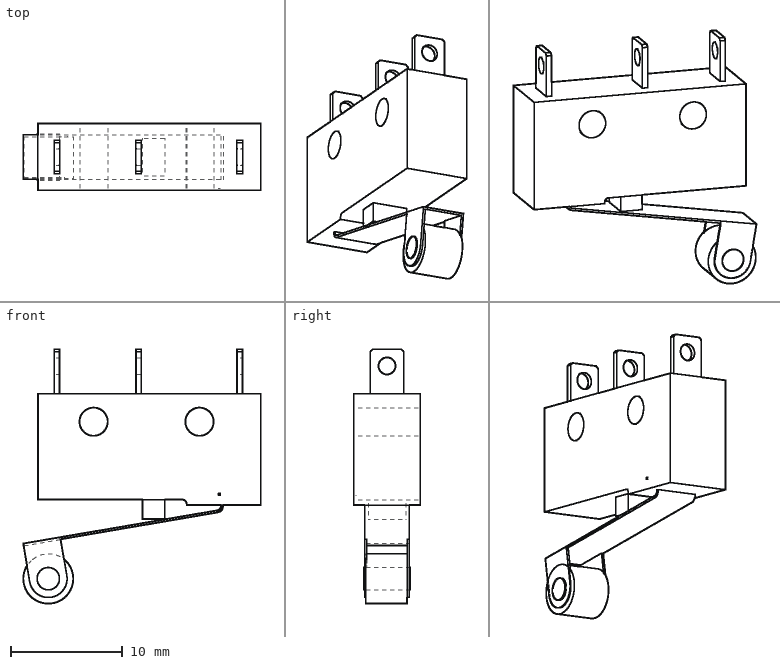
import cadquery as cq
import math


overall_height = 22.82

housing_length = 20.0
housing_width = 6.0
housing_height = 10.0
step_height = 0.5
step_x = 13.33
step_fillet_radius = 0.39
mount_hole_diameter = 2.5
mount_hole_x = 5.0
mount_hole_spacing = 9.5
mount_hole_drop = 2.5
pivot_dimple_diameter = 0.18
pivot_dimple_depth = 0.18
pivot_dimple_x = 16.27
pivot_dimple_z = 0.98

terminal_centers_x = (1.71, 9.04, 18.1)
terminal_thickness = 0.5
terminal_width = 3.01
terminal_height = 4.0
terminal_chamfer = 0.23
terminal_hole_diameter = 1.5
terminal_hole_drop = 1.5

roller_diameter = 4.5
roller_center_x = 0.94
lowest_z = housing_height + terminal_height - overall_height
roller_center_z = lowest_z + roller_diameter / 2
axle_diameter = 2.0
axle_length = 4.2

lever_tilt = math.radians(9.7)
sheet_thickness = 0.2
lever_width = 4.02
lever_rise = 3.5
arm_half_width = 1.7
bend_inner_radius = 0.4
bend_outer_radius = bend_inner_radius + sheet_thickness
tail_outer_x = 16.61
arm_inner_y = lever_width / 2 - sheet_thickness

arm_recess_depth = 0.11
roller_width = 2 * arm_inner_y + arm_recess_depth

plunger_left_x = 9.38
plunger_length = 2.0
plunger_width = 3.35


def lever_point(along, above):
    """X and Z of a point given along and square to the strip, from the roller centre."""
    x = roller_center_x + along * math.cos(lever_tilt) - above * math.sin(lever_tilt)
    z = roller_center_z + along * math.sin(lever_tilt) + above * math.cos(lever_tilt)
    return (x, z)


def across(sketch, y_min, y_max):
    """Extrude an outline of the XZ plane from y_min to y_max."""
    return sketch.extrude(y_min - y_max).translate((0, y_min, 0))


def y_cylinder(diameter, x, z, y_min, y_max):
    return across(cq.Workplane("XZ").center(x, z).circle(diameter / 2), y_min, y_max)


def make_housing():
    fillet_center_x = step_x - step_fillet_radius
    fillet_end_z = step_height - step_fillet_radius
    fillet_middle = step_fillet_radius * math.sqrt(0.5)
    outline = (
        cq.Workplane("XZ")
        .moveTo(0, housing_height)
        .lineTo(0, step_height)
        .lineTo(fillet_center_x, step_height)
        .threePointArc(
            (fillet_center_x + fillet_middle, fillet_end_z + fillet_middle), (step_x, fillet_end_z)
        )
        .lineTo(step_x, 0)
        .lineTo(housing_length, 0)
        .lineTo(housing_length, housing_height)
        .close()
    )
    front_y = -housing_width / 2
    back_y = housing_width / 2
    body = across(outline, front_y, back_y)

    hole_z = housing_height - mount_hole_drop
    for hole_x in (mount_hole_x, mount_hole_x + mount_hole_spacing):
        body = body.cut(y_cylinder(mount_hole_diameter, hole_x, hole_z, front_y, back_y))

    pivot_dimple = y_cylinder(
        pivot_dimple_diameter, pivot_dimple_x, pivot_dimple_z, front_y, front_y + pivot_dimple_depth
    )
    return body.cut(pivot_dimple)


def make_terminal(center_x):
    """Flat blade standing on the housing top, with a cross hole and clipped upper corners."""
    blade = (
        cq.Workplane("XY", origin=(center_x, 0, housing_height))
        .rect(terminal_thickness, terminal_width)
        .extrude(terminal_height)
        .faces(">Z")
        .edges("|X")
        .chamfer(terminal_chamfer)
    )
    hole_z = housing_height + terminal_height - terminal_hole_drop
    hole = (
        cq.Workplane("YZ", origin=(center_x, 0, hole_z))
        .circle(terminal_hole_diameter / 2)
        .extrude(terminal_thickness, both=True)
    )
    return blade.cut(hole)


def make_plunger():
    """Block under the housing whose lower right edge rests on the lever."""
    right_x = plunger_left_x + plunger_length
    strip_x, strip_z = lever_point(0, lever_rise)
    bottom_z = strip_z + (right_x - strip_x) * math.tan(lever_tilt)
    plunger_height = step_height - bottom_z
    return (
        cq.Workplane("XY", origin=(plunger_left_x, 0, bottom_z))
        .box(plunger_length, plunger_width, plunger_height, centered=(False, True, False))
    )


def make_strip():
    """Tilted strip that bends up into a short upright tail under the housing."""
    bend_above = lever_rise + bend_inner_radius
    bend_x = tail_outer_x - bend_outer_radius
    bend_along = (
        bend_x - roller_center_x + bend_above * math.sin(lever_tilt)
    ) / math.cos(lever_tilt)
    bend_z = lever_point(bend_along, bend_above)[1]
    mid_angle = (lever_tilt - math.pi / 2) / 2

    def bend_point(radius, angle):
        return (bend_x + radius * math.cos(angle), bend_z + radius * math.sin(angle))

    outline = (
        cq.Workplane("XZ")
        .moveTo(*lever_point(-arm_half_width, lever_rise))
        .lineTo(*lever_point(-arm_half_width, lever_rise - sheet_thickness))
        .lineTo(*lever_point(bend_along, lever_rise - sheet_thickness))
        .threePointArc(bend_point(bend_outer_radius, mid_angle), bend_point(bend_outer_radius, 0))
        .lineTo(tail_outer_x, 0)
        .lineTo(tail_outer_x - sheet_thickness, 0)
        .lineTo(*bend_point(bend_inner_radius, 0))
        .threePointArc(bend_point(bend_inner_radius, mid_angle), lever_point(bend_along, lever_rise))
        .close()
    )
    return across(outline, -lever_width / 2, lever_width / 2)


def make_arm(y_min, y_max):
    """Side arm with a round end about the roller centre."""
    outline = (
        cq.Workplane("XZ")
        .moveTo(*lever_point(-arm_half_width, lever_rise))
        .lineTo(*lever_point(-arm_half_width, 0))
        .threePointArc(lever_point(0, -arm_half_width), lever_point(arm_half_width, 0))
        .lineTo(*lever_point(arm_half_width, lever_rise))
        .close()
    )
    return across(outline, y_min, y_max)


def axle_cylinder():
    return y_cylinder(
        axle_diameter, roller_center_x, roller_center_z, -axle_length / 2, axle_length / 2
    )


def roller_cylinder():
    return y_cylinder(
        roller_diameter, roller_center_x, roller_center_z, arm_inner_y - roller_width, arm_inner_y
    )


def make_lever():
    front_arm = make_arm(-lever_width / 2, -arm_inner_y)
    back_arm = make_arm(arm_inner_y, lever_width / 2)
    bracket = make_strip().union(front_arm).union(back_arm)
    return bracket.cut(roller_cylinder()).cut(axle_cylinder())


def make_roller():
    return roller_cylinder().cut(axle_cylinder())


housing = make_housing()
terminals = [make_terminal(center_x) for center_x in terminal_centers_x]
plunger = make_plunger()
lever = make_lever()
roller = make_roller()
axle = axle_cylinder()

bodies = [housing, *terminals, plunger, lever, roller, axle]
result = cq.Compound.makeCompound([body.solids().val() for body in bodies])